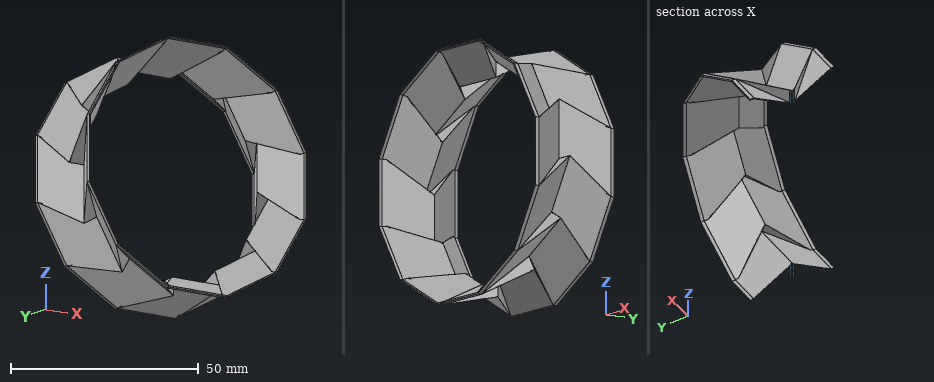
import cadquery as cq
import math

SIDES = 12
RIM_FLATS = 69.35
WAIST_APOTHEM = 27.75
WAIST_END = -0.71
WALL = 0.4
BAND = 1.2
FOLD = 12.0

RIM_Y = FOLD + BAND
RIM_APOTHEM = RIM_FLATS / 2
STEP_ANGLE = 2 * math.pi / SIDES
CORNER_SLOPE = math.tan(STEP_ANGLE / 2)

PANEL_SLOPE = (RIM_APOTHEM - WAIST_APOTHEM) / FOLD
EDGE_SLOPE = (RIM_APOTHEM * CORNER_SLOPE - WAIST_END) / FOLD

INNER_RIM_APOTHEM = RIM_APOTHEM - WALL
INNER_WAIST_APOTHEM = WAIST_APOTHEM - WALL * math.hypot(1, PANEL_SLOPE)
INNER_WAIST_END = WAIST_END + WALL * math.hypot(1, EDGE_SLOPE)


def ring_point(tangent, radial, y, index):
    """Point given in the frame of panel `index`; panel 0 faces +Z and its tangent is +X."""
    angle = STEP_ANGLE * index
    x = tangent * math.cos(angle) + radial * math.sin(angle)
    z = radial * math.cos(angle) - tangent * math.sin(angle)
    return cq.Vector(x, y, z)


def flat_face(*points):
    return cq.Face.makeFromWires(cq.Wire.makePolygon(list(points), close=True))


def pleated_body(rim_apothem, waist_apothem, waist_end, has_crease):
    """Closed solid bounded by one pleated skin and the two flat rim polygons.

    Each riser is a triangle standing on the waist. Its tip is the rim corner or, with `has_crease`,
    the lower end of a short crease in which two neighbouring panels meet below the rim corner.
    """
    half_side = rim_apothem * CORNER_SLOPE
    band_y = (rim_apothem - waist_apothem) / PANEL_SLOPE

    waist_start = (waist_end - waist_apothem * math.sin(STEP_ANGLE)) / math.cos(STEP_ANGLE)

    tip_y = (waist_apothem * CORNER_SLOPE - waist_end) / (EDGE_SLOPE - PANEL_SLOPE * CORNER_SLOPE)
    tip_apothem = waist_apothem + PANEL_SLOPE * tip_y
    tip_tangent = tip_apothem * CORNER_SLOPE

    faces = []
    for side in (-1, 1):
        rim_corners = []
        for index in range(SIDES):
            rim_start = ring_point(-half_side, rim_apothem, side * RIM_Y, index)
            rim_end = ring_point(half_side, rim_apothem, side * RIM_Y, index)
            band_start = ring_point(-half_side, rim_apothem, side * band_y, index)
            band_end = ring_point(half_side, rim_apothem, side * band_y, index)
            tip_start = ring_point(-tip_tangent, tip_apothem, side * tip_y, index)
            tip_end = ring_point(tip_tangent, tip_apothem, side * tip_y, index)
            panel_start = ring_point(waist_start, waist_apothem, 0, index)
            panel_end = ring_point(waist_end, waist_apothem, 0, index)
            next_start = ring_point(waist_start, waist_apothem, 0, index + 1)

            faces.append(flat_face(rim_start, rim_end, band_end, band_start))
            if has_crease:
                faces.append(flat_face(band_start, band_end, tip_end, panel_end, panel_start, tip_start))
            else:
                faces.append(flat_face(band_start, band_end, panel_end, panel_start))
            faces.append(flat_face(tip_end, next_start, panel_end))
            rim_corners.append(rim_start)
        faces.append(flat_face(*rim_corners))

    return cq.Workplane(cq.Solid.makeSolid(cq.Shell.makeShell(faces)).fix())


outer_body = pleated_body(RIM_APOTHEM, WAIST_APOTHEM, WAIST_END, has_crease=False)
inner_void = pleated_body(INNER_RIM_APOTHEM, INNER_WAIST_APOTHEM, INNER_WAIST_END, has_crease=True)

result = outer_body.cut(inner_void).solids()